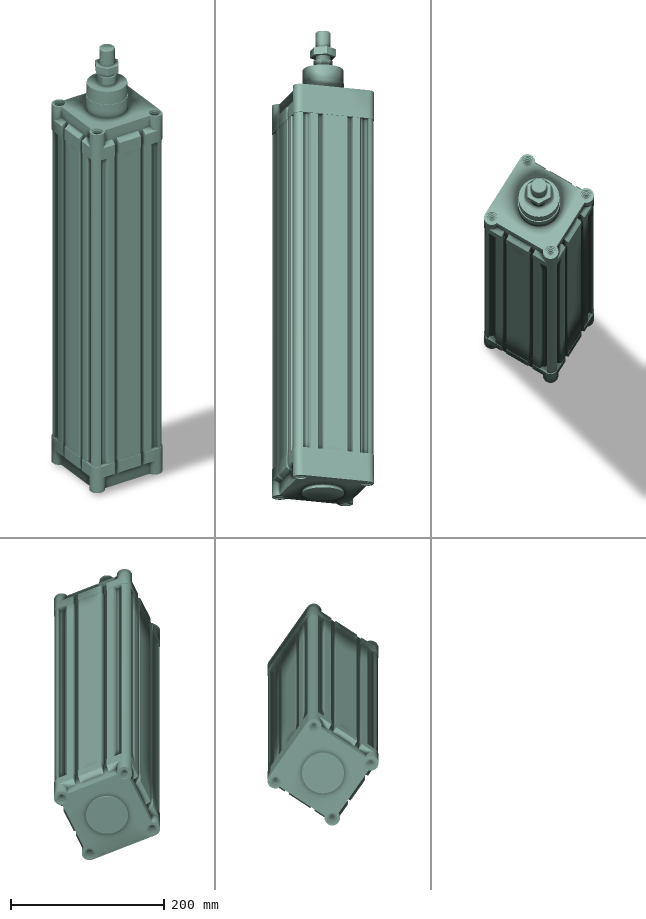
import cadquery as cq

width = 110.0
half_width = width / 2
total_height = 633.0

rear_cap_bottom = 4.5
cap_length = 38.5
front_cap_top = 542.0
barrel_bottom = rear_cap_bottom + cap_length
barrel_top = front_cap_top - cap_length
collar_step = 562.0
collar_top = 581.0
rod_shoulder = 594.0
nut_bottom = 599.5
nut_height = 10.0

collar_diameter = 55.0
collar_tip_diameter = 53.0
rear_flange_top = 2.0

boss_diameter = 20.0
boss_offset = half_width - boss_diameter / 2
recess_depth = 7.0
recess_length = 16.5
slope_length = 5.0
cap_slot_width = 7.0
recessed_sides = (0, 1, 3)

screw_steps = [(15.0, 2.0), (12.0, 4.0), (8.0, 6.0), (4.95, 7.5)]

barrel_width = 109.0
barrel_half = barrel_width / 2
barrel_corner_radius = 10.0
slot_offset = 20.0
slot_mouth = 7.5
slot_floor = 4.5
slot_depth = 7.0
corner_groove_outer = 45.0
corner_groove_ledge_end = 36.0
corner_groove_inner = 33.5
corner_groove_ledge_depth = 5.0
corner_groove_core_width = 4.5
corner_groove_core_depth = 8.0

rod_diameter = 25.0
rod_flats = 21.5
flats_clearance = 2.0
flats_bottom = collar_top + flats_clearance
thread_diameter = 20.0
thread_end_diameter = 18.5
nut_across_flats = 30.0


def cylinder(diameter, bottom, top):
    return cq.Workplane("XY").workplane(offset=bottom).circle(diameter / 2).extrude(top - bottom)


def box(x_min, x_max, y_min, y_max, z_min, z_max):
    size = (x_max - x_min, y_max - y_min, z_max - z_min)
    return cq.Workplane("XY").box(*size, centered=False).translate((x_min, y_min, z_min))


def turn(shape, side):
    """Turn a shape made for the -Y side by quarter turns: 1 is +X, 2 is +Y, 3 is -X."""
    return shape.rotate((0, 0, 0), (0, 0, 1), 90 * side)


def make_barrel_grooves(sign):
    """Slot and corner groove on one half of the -Y face, as closed outlines in XY."""
    slot_floor_y = -barrel_half + slot_depth
    slot = [
        (sign * (slot_offset - slot_mouth / 2), -barrel_half),
        (sign * (slot_offset - slot_floor / 2), slot_floor_y),
        (sign * (slot_offset + slot_floor / 2), slot_floor_y),
        (sign * (slot_offset + slot_mouth / 2), -barrel_half),
    ]
    ledge_y = -barrel_half + corner_groove_ledge_depth
    core_tip_y = -barrel_half + corner_groove_core_depth
    core_middle = (corner_groove_ledge_end + corner_groove_outer) / 2
    core_inner = core_middle - corner_groove_core_width / 2
    core_outer = core_middle + corner_groove_core_width / 2
    corner_groove = [
        (sign * corner_groove_inner, -barrel_half),
        (sign * corner_groove_ledge_end, ledge_y),
        (sign * core_inner, ledge_y),
        (sign * core_middle, core_tip_y),
        (sign * core_outer, ledge_y),
        (sign * corner_groove_outer, ledge_y),
        (sign * corner_groove_outer, -barrel_half),
    ]
    return [slot, corner_groove]


def make_barrel():
    """Extruded profile with the same grooves on all four sides."""
    base = cq.Workplane("XY").workplane(offset=barrel_bottom)
    length = barrel_top - barrel_bottom
    barrel = base.rect(barrel_width, barrel_width).extrude(length)
    barrel = barrel.edges("|Z").fillet(barrel_corner_radius)
    for outline in make_barrel_grooves(-1) + make_barrel_grooves(1):
        groove = base.polyline(outline).close().extrude(length)
        for side in range(4):
            barrel = barrel.cut(turn(groove, side))
    return barrel


def make_side_recess():
    """Material removed from the -Y side of the front cap: a sloped recess and two slots."""
    slope_top = front_cap_top - recess_length
    floor_y = -half_width + recess_depth
    outline = [
        (-half_width, front_cap_top),
        (floor_y, front_cap_top),
        (floor_y, slope_top),
        (-half_width, slope_top - slope_length),
    ]
    recess = cq.Workplane("YZ").polyline(outline).close().extrude(boss_offset, both=True)
    for x in (-slot_offset, slot_offset):
        x_min = x - cap_slot_width / 2
        x_max = x + cap_slot_width / 2
        recess = recess.union(box(x_min, x_max, -half_width, floor_y, barrel_top, front_cap_top))
    return recess


def make_front_cap():
    """Cap between the barrel joint and front_cap_top; its +Y side stays plain."""
    span = 2 * boss_offset
    base = cq.Workplane("XY").workplane(offset=barrel_top)
    cap = base.rect(width, span).extrude(cap_length)
    cap = cap.union(base.rect(span, width).extrude(cap_length))
    recess = make_side_recess()
    for side in recessed_sides:
        cap = cap.cut(turn(recess, side))
    corners = [(x, y) for x in (-boss_offset, boss_offset) for y in (-boss_offset, boss_offset)]
    for x, y in corners:
        cap = cap.union(cylinder(boss_diameter, barrel_top, front_cap_top).translate((x, y, 0)))
    for x, y in corners:
        for diameter, depth in screw_steps:
            cap = cap.cut(cylinder(diameter, front_cap_top - depth, front_cap_top).translate((x, y, 0)))
    return cap


def make_housing():
    """Barrel, both caps and both collars, with a blind seat for the rod in the front collar."""
    front_cap = make_front_cap()
    middle = (barrel_bottom + barrel_top) / 2
    rear_cap = front_cap.mirror("XY", (0, 0, middle))
    housing = make_barrel().union(front_cap).union(rear_cap)
    housing = housing.union(cylinder(collar_diameter, front_cap_top, collar_step))
    housing = housing.union(cylinder(collar_tip_diameter, collar_step, collar_top))
    housing = housing.union(cylinder(collar_tip_diameter, rear_flange_top, rear_cap_bottom))
    housing = housing.union(cylinder(collar_diameter, 0, rear_flange_top))
    return housing.cut(cylinder(rod_diameter, front_cap_top, collar_top))


def make_rod():
    """Rod with two wrench flats facing -Y and +Y, and a thinner threaded end."""
    rod = cylinder(rod_diameter, front_cap_top, rod_shoulder)
    for sign in (-1, 1):
        y = sorted((sign * rod_flats / 2, sign * rod_diameter))
        rod = rod.cut(box(-rod_diameter, rod_diameter, *y, flats_bottom, rod_shoulder))
    thread = cylinder(thread_diameter, rod_shoulder, total_height)
    thread = thread.faces(">Z").chamfer((thread_diameter - thread_end_diameter) / 2)
    return rod.union(thread)


def make_nut():
    """Hexagonal lock nut on the thread, flats facing -X and +X."""
    nut = cq.Workplane("XY").workplane(offset=nut_bottom)
    nut = nut.polygon(6, nut_across_flats, circumscribed=True).extrude(nut_height)
    return nut.cut(cylinder(thread_diameter, nut_bottom, nut_bottom + nut_height))


housing = make_housing()
rod = make_rod()
nut = make_nut()
result = cq.Compound.makeCompound([housing.val(), rod.val(), nut.val()])